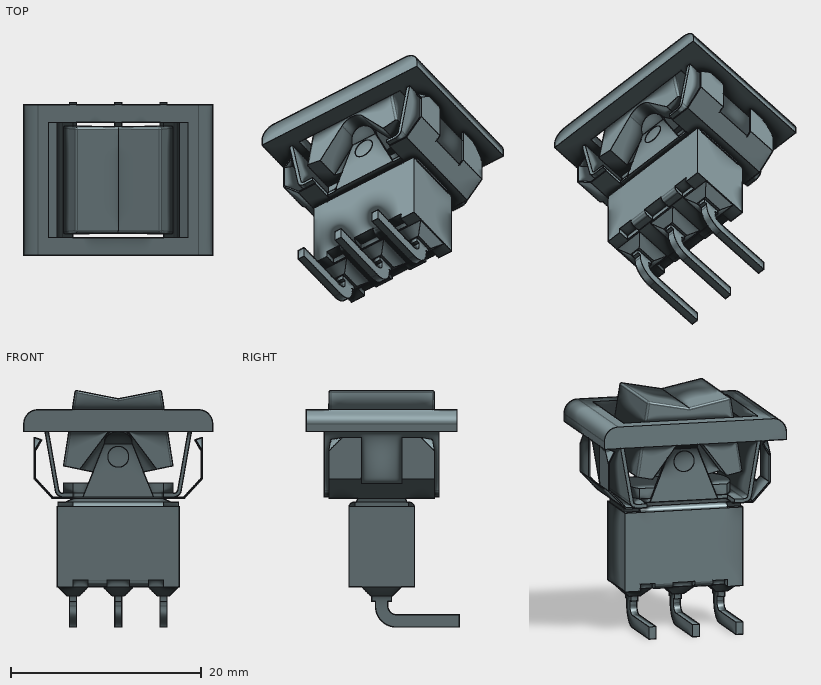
import cadquery as cq
import math


OVERLAP = 0.02

BODY_X, BODY_Y, BODY_H = 12.84, 6.9, 8.9
CAP_X, CAP_Y, CAP_BOTTOM = 12.7, 5.64, 8.41
FRAME_X = 9.5
FRAME_ROUND = 0.6
FRAME_BOTTOM, CORE_Y = 0.73, 4.5
TAB_X, TAB_SPACING = 1.97, 4.33
TAB_BOTTOM, TAB_ROUND = 0.1, 0.5
NECK_BOTTOM = (11.0, 5.3)
NECK_TOP = (9.4, 5.0)

PIN_PITCH = 4.74
SEAL_X, SEAL_Y, SEAL_H = 3.2, 4.2, 0.98
PIN_T, PIN_W = 0.76, 1.32
SHOULDER_Y, SHOULDER_BOTTOM = 2.08, -1.53
PIN_BOTTOM, PIN_END_Y = -4.24, 8.15
PIN_BEND = 0.9

CLIP_T = 0.15
CLIP_BOTTOM = 9.29
CLIP_HALF_X, CLIP_FLAT_HALF_X = 8.84, 6.94
CLIP_KNEE_Z, CLIP_TOP = 11.34, 15.68
CLIP_Y = 11.1
CLIP_SLOT_Y, CLIP_SLOT_BOTTOM = 4.24, 10.86
CLIP_FOLD = 1.43
CLIP_FOLD_ANGLE = 45
CLIP_NOTCH_Y = 5.6

BRACKET_T = 0.38
BRACKET_BOTTOM = CLIP_BOTTOM + CLIP_T
BRACKET_Y = 12.09
BRACKET_FLAT_HALF_X, BRACKET_TOP_HALF_X = 6.5, 7.7
BRACKET_BEND = 0.8
NOTCH_X, NOTCH_Y = FRAME_X, 6.7
EAR_BASE_HALF_X, EAR_TIP_HALF_X, EAR_TIP_Z = 3.7, 1.44, 15.1
EAR_OUTER_Y = 3.45
FLARE_HEIGHT = 1.6
FLARE_ANGLE = 30
PIVOT_D, PIVOT_Z, PIVOT_PROUD = 2.2, 13.65, 0.02

BLOCK_Y, BLOCK_TOP = 6.32, 10.92
BLOCK_HALF_X, BLOCK_MID_HALF_X = 4.75, 5.77

BEZEL_X, BEZEL_Y = 19.85, 15.84
BEZEL_BOTTOM, BEZEL_TOP = 16.29, 18.6
BEZEL_ROUND = 1.5
WINDOW_X, WINDOW_Y = 12.9, 12.09
WINDOW_CHAMFER = 0.85

ROCKER_TOP_HALF_X, ROCKER_TOP = 4.52, 20.64
ROCKER_VALLEY = 19.74
ROCKER_BOTTOM_HALF_X, ROCKER_BOTTOM_EDGE, ROCKER_BOTTOM_MID = 5.76, 12.69, 11.51
ROCKER_TOP_Y, ROCKER_BOTTOM_Y = 11.06, 11.36
ROCKER_ROUND = 0.22
POCKET_R, POCKET_Z = 1.6, 15.04
POCKET_LEAN = math.radians(37)


def centred_box(x, y, bottom, top):
    return cq.Workplane("XY").workplane(offset=bottom).rect(x, y).extrude(top - bottom)


def both_sides(shape, plane):
    return shape.union(shape.mirror(plane))


def make_body():
    body = centred_box(BODY_X, BODY_Y, 0, CAP_BOTTOM)
    body = body.union(centred_box(CAP_X, CAP_Y, 0, BODY_H))
    frame = centred_box(FRAME_X, BODY_Y, FRAME_BOTTOM, BODY_H)
    body = body.union(frame.edges("|X and >Z").fillet(FRAME_ROUND))

    recess = centred_box(FRAME_X, BODY_Y, 0, FRAME_BOTTOM)
    core = centred_box(FRAME_X, CORE_Y, 0, FRAME_BOTTOM)
    body = body.cut(recess.cut(core))
    tabs = centred_box(TAB_X, BODY_Y, TAB_BOTTOM, FRAME_BOTTOM).edges("|X and <Z").fillet(TAB_ROUND)
    for x in (-TAB_SPACING / 2, TAB_SPACING / 2):
        body = body.union(tabs.translate((x, 0, 0)))

    neck = (
        cq.Workplane("XY")
        .workplane(offset=BODY_H)
        .rect(*NECK_BOTTOM)
        .workplane(offset=CLIP_BOTTOM - BODY_H)
        .rect(*NECK_TOP)
        .loft()
    )
    return body.union(neck)


def make_terminal():
    seal = (
        cq.Workplane("XY")
        .rect(SEAL_X, SEAL_Y)
        .workplane(offset=-SEAL_H)
        .rect(SEAL_X - 2 * SEAL_H, SEAL_Y - 2 * SEAL_H)
        .loft()
    )
    shoulder = centred_box(PIN_T, SHOULDER_Y, SHOULDER_BOTTOM, -SEAL_H + OVERLAP)
    half = PIN_W / 2
    outer = PIN_BEND + PIN_W
    bend_y = half + PIN_BEND
    bend_z = PIN_BOTTOM + outer
    diagonal = math.sqrt(0.5)
    pin = (
        cq.Workplane("YZ")
        .moveTo(-half, SHOULDER_BOTTOM)
        .lineTo(-half, bend_z)
        .threePointArc((bend_y - outer * diagonal, bend_z - outer * diagonal), (bend_y, PIN_BOTTOM))
        .lineTo(PIN_END_Y, PIN_BOTTOM)
        .lineTo(PIN_END_Y, PIN_BOTTOM + PIN_W)
        .lineTo(bend_y, PIN_BOTTOM + PIN_W)
        .threePointArc((bend_y - PIN_BEND * diagonal, bend_z - PIN_BEND * diagonal), (half, bend_z))
        .lineTo(half, SHOULDER_BOTTOM)
        .close()
        .extrude(PIN_T / 2, both=True)
    )
    return seal.union(shoulder).union(pin)


def clip_profile(inset):
    """Region inside the clip, moved inwards by `inset`."""
    lean = math.atan2(CLIP_HALF_X - CLIP_FLAT_HALF_X, CLIP_KNEE_Z - CLIP_BOTTOM)
    flat = CLIP_FLAT_HALF_X - inset * math.tan((math.pi / 2 - lean) / 2)
    knee = CLIP_KNEE_Z + inset * math.tan(lean / 2)
    wall = CLIP_HALF_X - inset
    floor = CLIP_BOTTOM + inset
    points = [(-wall, CLIP_TOP), (-wall, knee), (-flat, floor), (flat, floor), (wall, knee), (wall, CLIP_TOP)]
    return cq.Workplane("XZ").polyline(points).close().extrude(CLIP_Y / 2, both=True)


def make_fold():
    """Corner of the clip at -X, -Y, folded inwards about its diagonal."""
    half_y = CLIP_Y / 2
    fold = (
        cq.Workplane("YZ")
        .workplane(offset=-CLIP_HALF_X)
        .polyline(
            [
                (-half_y, CLIP_TOP - CLIP_FOLD),
                (-half_y, CLIP_TOP),
                (-half_y + CLIP_FOLD, CLIP_TOP),
            ]
        )
        .close()
        .extrude(CLIP_T)
    )
    fold_start = (-CLIP_HALF_X, -half_y, CLIP_TOP - CLIP_FOLD)
    fold_end = (-CLIP_HALF_X, -half_y + CLIP_FOLD, CLIP_TOP)
    return fold.rotate(fold_start, fold_end, CLIP_FOLD_ANGLE)


def make_clip():
    clip = clip_profile(0).cut(clip_profile(CLIP_T))
    clip = clip.cut(centred_box(2 * CLIP_HALF_X, CLIP_SLOT_Y, CLIP_SLOT_BOTTOM, CLIP_TOP))
    for side in (-1, 1):
        notch = centred_box(NOTCH_X, CLIP_Y, CLIP_BOTTOM, CLIP_KNEE_Z)
        clip = clip.cut(notch.translate((0, side * (CLIP_Y + CLIP_NOTCH_Y) / 2, 0)))

    half_y = CLIP_Y / 2
    corner = (
        cq.Workplane("YZ")
        .polyline([(half_y, CLIP_TOP - CLIP_FOLD), (half_y, CLIP_TOP), (half_y - CLIP_FOLD, CLIP_TOP)])
        .close()
        .extrude(CLIP_HALF_X, both=True)
    )
    clip = clip.cut(both_sides(corner, "XZ"))
    folds = both_sides(both_sides(make_fold(), "XZ"), "YZ")
    return clip.union(folds)


def bracket_profile(inset):
    """Region inside the bracket, moved inwards by `inset`."""
    lean = math.atan2(BRACKET_TOP_HALF_X - BRACKET_FLAT_HALF_X, BEZEL_BOTTOM - BRACKET_BOTTOM)
    top = BRACKET_TOP_HALF_X - inset / math.cos(lean)
    flat = BRACKET_FLAT_HALF_X - inset * math.tan((math.pi / 2 - lean) / 2)
    floor = BRACKET_BOTTOM + inset
    points = [(-top, BEZEL_BOTTOM), (-flat, floor), (flat, floor), (top, BEZEL_BOTTOM)]
    region = cq.Workplane("XZ").polyline(points).close().extrude(BRACKET_Y / 2, both=True)
    return region.edges("|Y and <Z").fillet(BRACKET_BEND - inset)


def make_ear():
    """Ear on the -Y side, with its flared tip and the end of the pivot pin."""
    inner_y = EAR_OUTER_Y - BRACKET_T
    plate = (
        cq.Workplane("XZ", origin=(0, -inner_y, 0))
        .polyline(
            [
                (-EAR_BASE_HALF_X, BRACKET_BOTTOM),
                (EAR_BASE_HALF_X, BRACKET_BOTTOM),
                (EAR_TIP_HALF_X, EAR_TIP_Z),
                (-EAR_TIP_HALF_X, EAR_TIP_Z),
            ]
        )
        .close()
        .extrude(BRACKET_T)
    )
    tip = (
        cq.Workplane("XZ", origin=(0, -inner_y, 0))
        .moveTo(-EAR_TIP_HALF_X, EAR_TIP_Z)
        .threePointArc((0, EAR_TIP_Z + FLARE_HEIGHT), (EAR_TIP_HALF_X, EAR_TIP_Z))
        .close()
        .extrude(BRACKET_T)
        .rotate((0, -inner_y, EAR_TIP_Z), (1, -inner_y, EAR_TIP_Z), FLARE_ANGLE)
    )
    pivot = (
        cq.Workplane("XZ", origin=(0, -inner_y, 0))
        .center(0, PIVOT_Z)
        .circle(PIVOT_D / 2)
        .extrude(BRACKET_T + PIVOT_PROUD)
    )
    return plate.union(tip).union(pivot)


def make_bracket():
    bracket = bracket_profile(0).cut(bracket_profile(BRACKET_T))
    for side in (-1, 1):
        notch = centred_box(NOTCH_X, BRACKET_Y, BRACKET_BOTTOM, BLOCK_TOP)
        bracket = bracket.cut(notch.translate((0, side * (BRACKET_Y + NOTCH_Y) / 2, 0)))
    return bracket.union(both_sides(make_ear(), "XZ"))


def make_block():
    half_y = BLOCK_Y / 2
    return (
        cq.Workplane("XY")
        .workplane(offset=BRACKET_BOTTOM)
        .moveTo(-BLOCK_HALF_X, -half_y)
        .lineTo(BLOCK_HALF_X, -half_y)
        .threePointArc((BLOCK_MID_HALF_X, 0), (BLOCK_HALF_X, half_y))
        .lineTo(-BLOCK_HALF_X, half_y)
        .threePointArc((-BLOCK_MID_HALF_X, 0), (-BLOCK_HALF_X, -half_y))
        .close()
        .extrude(BLOCK_TOP - BRACKET_BOTTOM)
    )


def make_bezel():
    bezel = centred_box(BEZEL_X, BEZEL_Y, BEZEL_BOTTOM, BEZEL_TOP)
    bezel = bezel.edges("|Y and >Z").fillet(BEZEL_ROUND)
    window = centred_box(WINDOW_X, WINDOW_Y, BEZEL_BOTTOM, BEZEL_TOP)
    chamfer = (
        cq.Workplane("XY")
        .workplane(offset=BEZEL_TOP - WINDOW_CHAMFER)
        .rect(WINDOW_X, WINDOW_Y)
        .workplane(offset=WINDOW_CHAMFER)
        .rect(WINDOW_X + 2 * WINDOW_CHAMFER, WINDOW_Y)
        .loft()
    )
    return bezel.cut(window).cut(chamfer)


def make_rocker():
    outline = (
        cq.Workplane("XZ")
        .polyline(
            [
                (-ROCKER_TOP_HALF_X, ROCKER_TOP),
                (0, ROCKER_VALLEY),
                (ROCKER_TOP_HALF_X, ROCKER_TOP),
                (ROCKER_BOTTOM_HALF_X, ROCKER_BOTTOM_EDGE),
                (0, ROCKER_BOTTOM_MID),
                (-ROCKER_BOTTOM_HALF_X, ROCKER_BOTTOM_EDGE),
            ]
        )
        .close()
        .extrude(ROCKER_BOTTOM_Y, both=True)
    )
    draft = (
        cq.Workplane("YZ")
        .polyline(
            [
                (-ROCKER_BOTTOM_Y / 2, ROCKER_BOTTOM_MID),
                (ROCKER_BOTTOM_Y / 2, ROCKER_BOTTOM_MID),
                (ROCKER_TOP_Y / 2, ROCKER_TOP),
                (-ROCKER_TOP_Y / 2, ROCKER_TOP),
            ]
        )
        .close()
        .extrude(ROCKER_BOTTOM_HALF_X, both=True)
    )
    rocker = outline.intersect(draft)
    above_bottom = cq.selectors.BoxSelector(
        (-ROCKER_BOTTOM_HALF_X, -ROCKER_BOTTOM_Y, BEZEL_BOTTOM),
        (ROCKER_BOTTOM_HALF_X, ROCKER_BOTTOM_Y, ROCKER_TOP + ROCKER_ROUND),
    )
    valley = cq.selectors.BoxSelector(
        (-ROCKER_ROUND, -ROCKER_ROUND, BEZEL_TOP), (ROCKER_ROUND, ROCKER_ROUND, ROCKER_TOP)
    )
    rocker = rocker.edges(above_bottom - valley).fillet(ROCKER_ROUND)

    side_x = POCKET_R * math.cos(POCKET_LEAN)
    side_z = POCKET_Z + POCKET_R * math.sin(POCKET_LEAN)
    mouth_x = side_x + (side_z - ROCKER_BOTTOM_MID) * math.tan(POCKET_LEAN)
    pocket = (
        cq.Workplane("XZ", origin=(0, -EAR_OUTER_Y + BRACKET_T, 0))
        .moveTo(-mouth_x, ROCKER_BOTTOM_MID)
        .lineTo(-side_x, side_z)
        .threePointArc((0, POCKET_Z + POCKET_R), (side_x, side_z))
        .lineTo(mouth_x, ROCKER_BOTTOM_MID)
        .close()
        .extrude(ROCKER_BOTTOM_Y)
    )
    return rocker.cut(pocket).cut(pocket.mirror("XZ"))


result = make_body()
terminal = make_terminal()
for position in (-1, 0, 1):
    result = result.union(terminal.translate((position * PIN_PITCH, 0, 0)))
for piece in (make_clip(), make_bracket(), make_block(), make_bezel(), make_rocker()):
    result = result.union(piece)